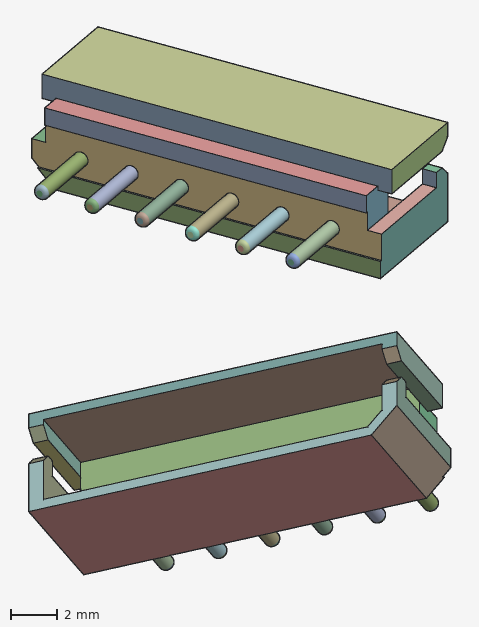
import cadquery as cq


length = 17.4
depth = 5.9
height = 4.9
base_depth = 1.9
wall = 0.45
end_wall = 0.7
key_chamfer = 1.2

step_depth = 1.0
step_z = 3.9

recess_depth = 0.1
recess_bottom_z = 0.85
recess_top_z = 3.05

slot_bottom_z = 2.15
slot_top_z = 3.7
lip_top_z = 2.9
lip_depth = 1.0
lip_chamfer = 0.5

pin_count = 6
pin_pitch = 2.5
pin_z = 1.8
pin_radius = 0.35
pin_length = 3.5
pin_tip_fillet = 0.2

half_length = length / 2
diagonal_wall_run = wall * 2 ** 0.5
cavity_chamfer = key_chamfer + diagonal_wall_run - end_wall - wall


def block(x_min, x_max, y_min, y_max, z_min, z_max):
    """Return a box spanning the given limits."""
    size = (x_max - x_min, y_max - y_min, z_max - z_min)
    return cq.Workplane("XY").box(*size, centered=False).translate((x_min, y_min, z_min))


def make_shell():
    """Return the box with its keyed corner and the mating cavity opening at the back."""
    outside = block(-half_length, half_length, 0, depth, 0, height)
    outside = outside.edges("|Y and <X and <Z").chamfer(key_chamfer)
    inner_half = half_length - end_wall
    cavity = block(-inner_half, inner_half, base_depth, depth, wall, height - wall)
    cavity = cavity.edges("|Y and <X and <Z").chamfer(cavity_chamfer)
    return outside.cut(cavity)


def make_front_cuts():
    """Return the top front step and the shallow front recess."""
    step = block(-half_length, half_length, 0, step_depth, step_z, height)
    recess = block(-half_length, half_length, 0, recess_depth, recess_bottom_z, recess_top_z)
    return step.union(recess)


def make_end_slot(x_min):
    """Return the slot through one end wall, narrowed by a lip and flared at the back."""
    profile = [
        (0, slot_bottom_z),
        (depth - lip_depth, slot_bottom_z),
        (depth - lip_depth, lip_top_z),
        (depth - lip_chamfer, lip_top_z),
        (depth, lip_top_z - lip_chamfer),
        (depth, slot_top_z + lip_chamfer),
        (depth - lip_chamfer, slot_top_z),
        (step_depth, slot_top_z),
        (step_depth, step_z),
        (0, step_z),
    ]
    return cq.Workplane("YZ", origin=(x_min, 0, 0)).polyline(profile).close().extrude(end_wall)


def make_pin(x):
    """Return one round pin, rooted in the base with a rounded tip."""
    pin = cq.Workplane("XZ", origin=(x, base_depth, pin_z)).circle(pin_radius)
    pin = pin.extrude(base_depth + pin_length)
    return pin.faces("<Y").fillet(pin_tip_fillet)


result = make_shell().cut(make_front_cuts())

for slot_x in (-half_length, half_length - end_wall):
    result = result.cut(make_end_slot(slot_x))

for index in range(pin_count):
    pin_x = (index - (pin_count - 1) / 2) * pin_pitch
    result = result.union(make_pin(pin_x))